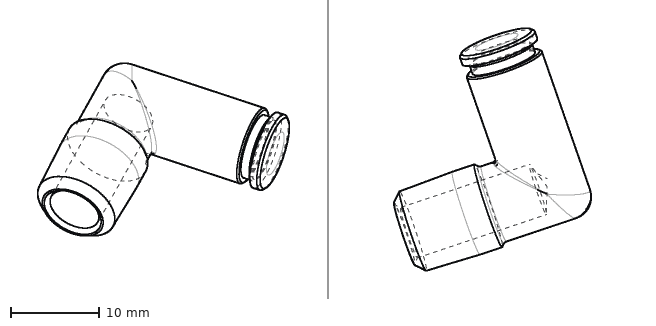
import cadquery as cq
import math

ARM_RADIUS = 4.5

OUTER_BLEND_RADIUS = 2.5
INNER_BLEND_RADIUS = 0.4
BLEND_STEPS = 4

SOCKET_SHOULDER_X = 15.0
SHOULDER_CHAMFER = 0.2
NECK_RADIUS = 3.75
NECK_END_X = 16.0
GROOVE_DEPTH = 0.2
GROOVE_FILLET = 0.2
FLANGE_RIM_X = 17.56
FLANGE_CHAMFER = 0.3
END_FACE_X = 17.59
END_FACE_RADIUS = 2.55

PLUG_RADIUS = 4.95
PLUG_START = 7.0
PLUG_FILLET = 0.5
PLUG_CONE_ANGLE = 45.0
TAPER_START = 9.65
PLUG_END = 17.0
PLUG_CHAMFER = 1.0
TAPER_PER_LENGTH = 1 / 32

BORE_RADIUS = 3.0
BORE_CHAMFER = 0.5
DRILL_POINT_ANGLE = 140.0

REACH = 3 * PLUG_END


def prism(corners):
    """Vertical prism over an XY outline, taller than the part."""
    return cq.Workplane("XY").polyline(corners).close().extrude(2 * PLUG_RADIUS, both=True)


def socket_arm():
    """Revolved +X arm with chamfered shoulder, neck, groove and end flange with a faintly coned face."""
    groove_radius = NECK_RADIUS - GROOVE_DEPTH
    groove_x = NECK_END_X + GROOVE_DEPTH
    flange_start_x = groove_x + GROOVE_FILLET
    fillet_run = GROOVE_FILLET * math.sqrt(0.5)
    fillet_rise = GROOVE_FILLET - fillet_run
    return (
        cq.Workplane("XZ")
        .moveTo(-2 * ARM_RADIUS, 0)
        .lineTo(-2 * ARM_RADIUS, ARM_RADIUS)
        .lineTo(SOCKET_SHOULDER_X - SHOULDER_CHAMFER, ARM_RADIUS)
        .lineTo(SOCKET_SHOULDER_X, ARM_RADIUS - SHOULDER_CHAMFER)
        .lineTo(SOCKET_SHOULDER_X, NECK_RADIUS)
        .lineTo(NECK_END_X, NECK_RADIUS)
        .lineTo(groove_x, groove_radius)
        .threePointArc(
            (groove_x + fillet_run, groove_radius + fillet_rise),
            (flange_start_x, groove_radius + GROOVE_FILLET),
        )
        .lineTo(flange_start_x, ARM_RADIUS)
        .lineTo(FLANGE_RIM_X - FLANGE_CHAMFER, ARM_RADIUS)
        .lineTo(FLANGE_RIM_X, ARM_RADIUS - FLANGE_CHAMFER)
        .lineTo(END_FACE_X, END_FACE_RADIUS)
        .lineTo(END_FACE_X, 0)
        .close()
        .revolve(360, (0, 0), (1, 0))
    )


def plug_arm():
    """Revolved -Y arm flaring through a filleted cone to the tapered plug end."""
    cone_angle = math.radians(PLUG_CONE_ANGLE)
    fillet_run = PLUG_FILLET * math.sin(cone_angle)
    fillet_rise = PLUG_FILLET * (1 - math.cos(cone_angle))
    cone_rise = PLUG_RADIUS - ARM_RADIUS - fillet_rise
    cone_start = PLUG_START - cone_rise / math.tan(cone_angle)
    fillet_start = cone_start - fillet_run
    mid_run = PLUG_FILLET * math.sin(cone_angle / 2)
    mid_rise = PLUG_FILLET * (1 - math.cos(cone_angle / 2))
    taper_end = PLUG_END - PLUG_CHAMFER
    taper_radius = PLUG_RADIUS - (taper_end - TAPER_START) * TAPER_PER_LENGTH
    return (
        cq.Workplane("YZ")
        .moveTo(2 * ARM_RADIUS, 0)
        .lineTo(2 * ARM_RADIUS, ARM_RADIUS)
        .lineTo(-fillet_start, ARM_RADIUS)
        .threePointArc(
            (-fillet_start - mid_run, ARM_RADIUS + mid_rise),
            (-cone_start, ARM_RADIUS + fillet_rise),
        )
        .lineTo(-PLUG_START, PLUG_RADIUS)
        .lineTo(-TAPER_START, PLUG_RADIUS)
        .lineTo(-taper_end, taper_radius)
        .lineTo(-PLUG_END, taper_radius - PLUG_CHAMFER)
        .lineTo(-PLUG_END, 0)
        .close()
        .revolve(360, (0, 0), (1, 0))
    )


def half_ellipse_section(x, y):
    """Half ellipse standing on the Z axis, from pole to pole, passing through (x, y, 0)."""
    arc = cq.Edge.makeEllipse(
        math.hypot(x, y),
        ARM_RADIUS,
        cq.Vector(0, 0, 0),
        cq.Vector(y, -x, 0),
        cq.Vector(x, y, 0),
        270,
        90,
    )
    chord = cq.Edge.makeLine(arc.endPoint(), arc.startPoint())
    return cq.Wire.assembleEdges([arc, chord])


def arc_points(center, radius, start_angle, end_angle):
    """Evenly spaced points along an arc in the XY plane."""
    step = (end_angle - start_angle) / BLEND_STEPS
    angles = [math.radians(start_angle + step * i) for i in range(BLEND_STEPS + 1)]
    return [
        (center[0] + radius * math.cos(a), center[1] + radius * math.sin(a))
        for a in angles
    ]


def blend_wedge(points):
    """Rounded wedge of the elbow standing on the Z axis, tangent to both arms.

    Every height has the same outline, shrunk with the arm's half width down to nothing at the poles.
    """
    loft = cq.Solid.makeLoft([half_ellipse_section(x, y) for x, y in points])
    faces = sorted(loft.Faces(), key=lambda face: face.Area())[1:]
    return cq.Workplane(cq.Solid.makeSolid(cq.Shell.makeShell(faces)))


def bore():
    """Blind hole along the plug axis with a chamfered mouth and a conical bottom."""
    cone_depth = BORE_RADIUS / math.tan(math.radians(DRILL_POINT_ANGLE / 2))
    return (
        cq.Workplane("YZ")
        .moveTo(-PLUG_END, 0)
        .lineTo(-PLUG_END, BORE_RADIUS + BORE_CHAMFER)
        .lineTo(-PLUG_END + BORE_CHAMFER, BORE_RADIUS)
        .lineTo(-cone_depth, BORE_RADIUS)
        .lineTo(0, 0)
        .close()
        .revolve(360, (0, 0), (1, 0))
    )


def far_point(point):
    """Point well outside the part, in the direction of the given XY point."""
    scale = REACH / ARM_RADIUS
    return (point[0] * scale, point[1] * scale)


def elbow():
    """Complete fitting: four wedges around the Z axis, with the blind bore cut out."""
    outer_offset = ARM_RADIUS - OUTER_BLEND_RADIUS
    inner_offset = ARM_RADIUS + INNER_BLEND_RADIUS
    outer = arc_points((-outer_offset, outer_offset), OUTER_BLEND_RADIUS, 90, 180)
    inner = arc_points((inner_offset, -inner_offset), INNER_BLEND_RADIUS, 180, 90)
    socket_side = prism([(0, 0), far_point(inner[-1]), (REACH, REACH), far_point(outer[0])])
    plug_side = prism([(0, 0), far_point(outer[-1]), (-REACH, -REACH), far_point(inner[0])])
    socket = socket_arm().intersect(socket_side)
    plug = plug_arm().intersect(plug_side)
    body = socket.union(blend_wedge(outer)).union(plug).union(blend_wedge(inner))
    return body.cut(bore())


result = elbow()